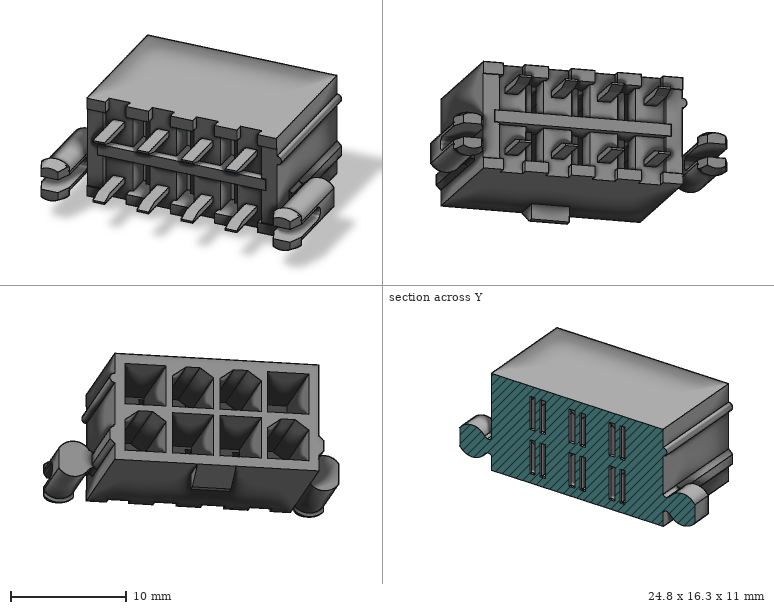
import cadquery as cq
import math


body_width = 18.06
body_depth = 12.79
body_height = 9.61
columns = 4
row_length = 12.61
column_pitch = row_length / (columns - 1)

cell_size = 3.65
cell_web = 0.57
cell_key_run = cell_size / 3
cell_key_drop = 0.87
floor_back = 2.97
web_front = 2.48

end_wall_recess = 0.15
pillar_recess = 0.8
inner_pillar_half = 1.26
end_pillar_inner_half = 1.35
top_lip = 1.07
bottom_lip = 0.97
bar_width = 16.0
bar_height = 1.07
bar_bottom = 4.25
notch_width = 2.05
end_notch_outer_half = 0.95

pin_width = 1.12
pin_thickness = 0.55
pin_reach = 3.52
pin_taper_length = 1.2
pin_tip_thickness = 0.17
lower_pin_z = 1.85
row_pitch = 5.5

latch_width = 3.42
latch_drop = 1.4
latch_length = 3.05
latch_flat = 0.72

rail_height = 0.42
rail_base = 1.78
rail_crest = 0.92
bead_radius = 0.42
bead_z = 7.38

overall_width = 24.78
peg_z = 2.3
peg_width = 2.65
peg_x = (overall_width - peg_width) / 2
peg_back = 4.75
peg_diameter = 3.2
head_diameter = 3.85
head_start = 2.08
head_length = 1.3
head_land = 0.22
head_tip_radius = 1.59
head_tip_width = 1.6
slot_height = 1.26
slot_end = 1.88

neck_length = 2.05
neck_base = 1.78
neck_waist = 1.41
neck_arc_point = math.radians(45)

body_half = body_width / 2
cell_wall = (body_height - 2 * cell_size - cell_web) / 2
column_xs = [(i - (columns - 1) / 2) * column_pitch for i in range(columns)]
end_pillar_edge = column_xs[-1] + inner_pillar_half


def box(x0, x1, y0, y1, z0, z1):
    return cq.Workplane("XY").box(x1 - x0, y1 - y0, z1 - z0, centered=False).translate((x0, y0, z0))


def along_y(y0, y1):
    """Workplane whose sketch is in X and Z at y0, and the extrusion that takes it to y1."""
    return cq.Workplane("XZ", origin=(0, y0, 0)), y0 - y1


def span_about(column, half, end_outer_half, end_inner_half):
    """X limits around a column; the two end columns have their own half widths."""
    x = column_xs[column]
    if column == 0:
        return x - end_outer_half, x + end_inner_half
    if column == columns - 1:
        return x - end_inner_half, x + end_outer_half
    return x - half, x + half


def cell(x, bottom, keyed):
    """One mating cell, open at the back; keyed cells have both upper corners cut off."""
    half = cell_size / 2
    top = bottom + cell_size
    plane, length = along_y(floor_back, body_depth)
    outline = plane.moveTo(x - half, bottom).lineTo(x + half, bottom)
    if keyed:
        outline = (
            outline.lineTo(x + half, top - cell_key_drop)
            .lineTo(x + half - cell_key_run, top)
            .lineTo(x - half + cell_key_run, top)
            .lineTo(x - half, top - cell_key_drop)
        )
    else:
        outline = outline.lineTo(x + half, top).lineTo(x - half, top)
    return outline.close().extrude(length)


def housing():
    body = box(-body_half, body_half, 0, body_depth, 0, body_height)

    for column, x in enumerate(column_xs):
        is_end = column in (0, columns - 1)
        body = body.cut(cell(x, cell_wall, is_end))
        body = body.cut(cell(x, cell_wall + cell_size + cell_web, not is_end))

    lip_z = body_height - top_lip
    recess = box(-body_half, body_half, 0, end_wall_recess, bottom_lip, lip_z)
    recess = recess.union(box(-end_pillar_edge, end_pillar_edge, 0, pillar_recess, bottom_lip, lip_z))
    pillars = [
        span_about(i, inner_pillar_half, inner_pillar_half, end_pillar_inner_half) for i in range(columns)
    ]
    for left, right in zip(pillars, pillars[1:]):
        recess = recess.union(box(left[1], right[0], 0, floor_back, bottom_lip, lip_z))
    for x0, x1 in zip(column_xs, column_xs[1:]):
        middle = (x0 + x1) / 2
        recess = recess.cut(
            box(middle - cell_web / 2, middle + cell_web / 2, web_front, floor_back, 0, body_height)
        )
    bar = box(-bar_width / 2, bar_width / 2, 0, floor_back, bar_bottom, bar_bottom + bar_height)
    body = body.cut(recess.cut(bar))

    for column in range(columns):
        x0, x1 = span_about(column, notch_width / 2, end_notch_outer_half, notch_width / 2)
        body = body.cut(box(x0, x1, 0, pillar_recess, 0, bottom_lip))
        body = body.cut(box(x0, x1, 0, pillar_recess, lip_z, body_height))
    return body


def pin(x, z, taper_side):
    """Flat pin rooted in a pillar; taper_side is +1 for a taper on top, -1 for one below."""
    flat = z - taper_side * pin_thickness / 2
    tapered = z + taper_side * pin_thickness / 2
    root = (pillar_recess + floor_back) / 2
    outline = [
        (root, flat),
        (-pin_reach, flat),
        (-pin_reach, flat + taper_side * pin_tip_thickness),
        (-pin_reach + pin_taper_length, tapered),
        (root, tapered),
    ]
    plane = cq.Workplane("YZ", origin=(x, 0, 0))
    return plane.polyline(outline).close().extrude(pin_width / 2, both=True)


def latch():
    outline = [
        (body_depth, 0),
        (body_depth - latch_length + latch_flat, -latch_drop),
        (body_depth - latch_length, -latch_drop),
        (body_depth - latch_length, 0),
    ]
    return cq.Workplane("YZ").polyline(outline).close().extrude(latch_width / 2, both=True)


def rail():
    """Bevelled rail on the +X wall, from the peg to the back."""
    outline = [
        (body_half, peg_z - rail_base / 2),
        (body_half + rail_height, peg_z - rail_crest / 2),
        (body_half + rail_height, peg_z + rail_crest / 2),
        (body_half, peg_z + rail_base / 2),
    ]
    plane, length = along_y(peg_back, body_depth)
    return plane.polyline(outline).close().extrude(length)


def bead():
    plane, length = along_y(end_wall_recess, body_depth)
    return plane.center(body_half, bead_z).circle(bead_radius).extrude(length)


def neck():
    """Link between the +X wall and its peg: a hollow arc off the wall, then a slope up to the peg."""
    crease_x = body_half + rail_height
    x1 = peg_x - peg_width / 2
    base = neck_base / 2
    waist = neck_waist / 2
    arc_x = body_half + rail_height * (1 - math.cos(neck_arc_point))
    arc_half = base - (base - waist) * math.sin(neck_arc_point)
    plane, length = along_y(peg_back - neck_length, peg_back)
    return (
        plane.center(0, peg_z)
        .moveTo(body_half, -base)
        .threePointArc((arc_x, -arc_half), (crease_x, -waist))
        .lineTo(x1, -base)
        .lineTo(x1, base)
        .lineTo(crease_x, waist)
        .threePointArc((arc_x, arc_half), (body_half, base))
        .close()
        .extrude(length)
    )


def peg():
    """Split snap peg on the +X side: a round shank and a barbed head between flat sides."""
    head_end = head_start + head_length
    profile = [
        (0, peg_back),
        (peg_diameter / 2, peg_back),
        (peg_diameter / 2, -head_start),
        (head_diameter / 2, -head_start),
        (head_diameter / 2, -head_start - head_land),
        (head_tip_radius, -head_end),
        (0, -head_end),
    ]
    round_peg = cq.Workplane("XY").polyline(profile).close().revolve(360, (0, 0, 0), (0, 1, 0))

    side = peg_width / 2
    tip = head_tip_width / 2
    plan = [
        (-side, peg_back),
        (side, peg_back),
        (side, -head_start),
        (tip, -head_end),
        (-tip, -head_end),
        (-side, -head_start),
    ]
    sides = cq.Workplane("XY").polyline(plan).close().extrude(head_diameter, both=True)

    slot_radius = slot_height / 2
    slot_centre = slot_end - slot_radius
    slot = box(-side, side, -head_end, slot_centre, -slot_radius, slot_radius)
    slot_round = cq.Workplane("YZ").center(slot_centre, 0).circle(slot_radius).extrude(side, both=True)
    return round_peg.intersect(sides).cut(slot).cut(slot_round).translate((peg_x, 0, peg_z))


result = housing()
for pin_x in column_xs:
    result = result.union(pin(pin_x, lower_pin_z, 1))
    result = result.union(pin(pin_x, lower_pin_z + row_pitch, -1))

wing = rail().union(neck()).union(peg())
result = result.union(wing).union(wing.mirror("YZ")).union(latch()).union(bead())